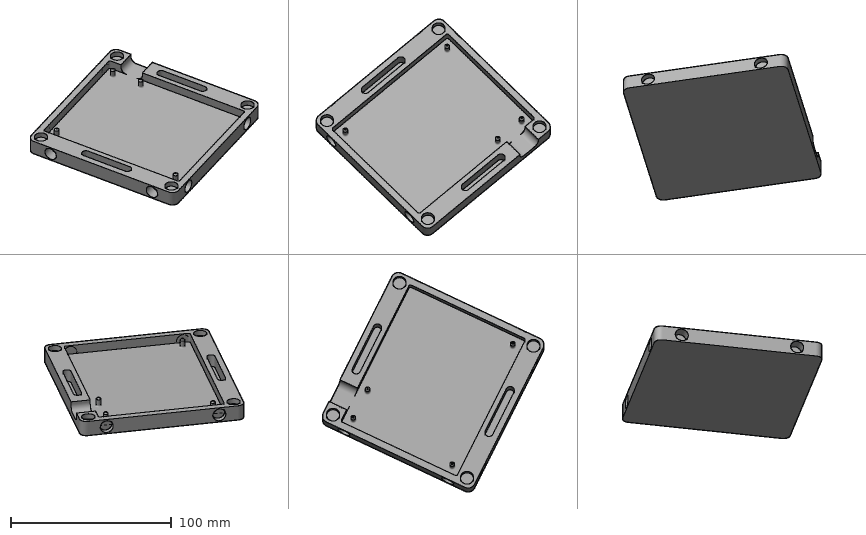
import cadquery as cq
import math

length = 106.5
width = 104.7
height = 10.0
corner_radius = 4.5

pocket_length = 98.0
pocket_width = 80.3
pocket_depth = 6.0
pocket_corner_radius = 1.1
floor_z = height - pocket_depth

corner_hole_diameter = 8.2
corner_hole_depth = 3.5
corner_hole_x = 47.2
corner_hole_y = 46.3
wall_hole_diameter = 8.2
front_hole_depth = 7.0
side_hole_depth = 3.5
front_hole_x = 36.6
side_hole_y = 35.9

slot_length = 35.2
slot_width = 5.2
slot_depth = 8.0
slot_y = 45.9

channel_x = -32.9
channel_width = 15.4
channel_corner_radius = 8.0 / 2

pin_points = [(-43.1, 34.3), (-22.9, 34.3), (-43.1, -34.1), (42.9, -34.1)]
pin_diameter = 3.0
pin_height = pocket_depth
pin_chamfer = 1.1
pin_fillet = 1.0
pin_root_depth = 1.1


def make_body():
    body = cq.Workplane("XY").box(length, width, height, centered=(True, True, False))
    return body.edges("|Z").fillet(corner_radius)


def make_pocket():
    pocket = cq.Workplane("XY").workplane(offset=floor_z)
    pocket = pocket.box(pocket_length, pocket_width, pocket_depth, centered=(True, True, False))
    return pocket.edges("|Z").fillet(pocket_corner_radius)


def make_channel():
    """Cut from the middle of the pocket out through the back face."""
    channel = cq.Workplane("XY").box(
        channel_width, width / 2, pocket_depth, centered=(True, False, False)
    )
    channel = channel.edges("|Y and <Z").fillet(channel_corner_radius)
    return channel.translate((channel_x, 0, floor_z))


def make_slots():
    slots = cq.Workplane("XY").workplane(offset=height)
    slots = slots.pushPoints([(0, slot_y), (0, -slot_y)])
    return slots.slot2D(slot_length, slot_width).extrude(-slot_depth)


def make_corner_holes():
    holes = cq.Workplane("XY").workplane(offset=height)
    holes = holes.rect(2 * corner_hole_x, 2 * corner_hole_y, forConstruction=True).vertices()
    return holes.circle(corner_hole_diameter / 2).extrude(-corner_hole_depth)


def make_wall_hole(face_point, inward, depth):
    return cq.Workplane(
        cq.Solid.makeCylinder(
            wall_hole_diameter / 2, depth, cq.Vector(*face_point), cq.Vector(*inward)
        )
    )


def make_pin():
    """Chamfered pin that flares into the pocket floor through a concave fillet."""
    radius = pin_diameter / 2
    fillet_center = (radius + pin_fillet, pin_fillet)
    fillet_reach = pin_fillet * math.sqrt(0.5)
    fillet_middle = (fillet_center[0] - fillet_reach, fillet_center[1] - fillet_reach)
    profile = (
        cq.Workplane("XZ")
        .moveTo(0, -pin_root_depth)
        .lineTo(radius + pin_fillet, -pin_root_depth)
        .lineTo(radius + pin_fillet, 0)
        .threePointArc(fillet_middle, (radius, pin_fillet))
        .lineTo(radius, pin_height - pin_chamfer)
        .lineTo(radius - pin_chamfer, pin_height)
        .lineTo(0, pin_height)
        .close()
    )
    return profile.revolve(360, (0, 0, 0), (0, 1, 0))


result = make_body()
for cutter in (make_pocket(), make_channel(), make_slots(), make_corner_holes()):
    result = result.cut(cutter)

for end in (-1, 1):
    front_point = (end * front_hole_x, -width / 2, height / 2)
    result = result.cut(make_wall_hole(front_point, (0, 1, 0), front_hole_depth))
    for side in (-1, 1):
        side_point = (side * length / 2, end * side_hole_y, height / 2)
        result = result.cut(make_wall_hole(side_point, (-side, 0, 0), side_hole_depth))

for x, y in pin_points:
    result = result.union(make_pin().translate((x, y, floor_z)))